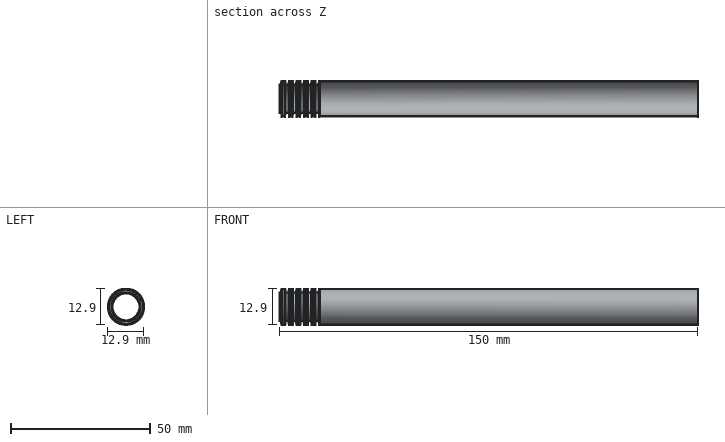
import cadquery as cq

length = 150.0
outer_diameter = 12.9
tube_bore_diameter = 12.3
neck_diameter = 10.4
neck_bore_diameter = 9.8

ridge_count = 5
pitch = 2.7
crest_width = 1.4
flank_run = 0.2
first_crest_offset = 0.6

wall = (outer_diameter - tube_bore_diameter) / 2
start_x = -length / 2
end_x = length / 2
first_crest_x = start_x + first_crest_offset
tube_start_x = first_crest_x + ridge_count * pitch


def corrugated_solid(root_diameter, crest_diameter, inset):
    """Solid of revolution about X; inset narrows each crest at both of its flanks."""
    root = root_diameter / 2
    crest = crest_diameter / 2
    outline = [(start_x, 0), (start_x, root)]
    for index in range(ridge_count):
        crest_start = first_crest_x + index * pitch + inset
        crest_end = crest_start + crest_width - 2 * inset
        outline += [
            (crest_start - flank_run, root),
            (crest_start, crest),
            (crest_end, crest),
            (crest_end + flank_run, root),
        ]
    outline += [
        (tube_start_x + inset - flank_run, root),
        (tube_start_x + inset, crest),
        (end_x, crest),
        (end_x, 0),
    ]
    return cq.Workplane("XY").polyline(outline).close().revolve(360, (0, 0, 0), (1, 0, 0))


outside = corrugated_solid(neck_diameter, outer_diameter, 0)
cavity = corrugated_solid(neck_bore_diameter, tube_bore_diameter, wall)
result = outside.cut(cavity)